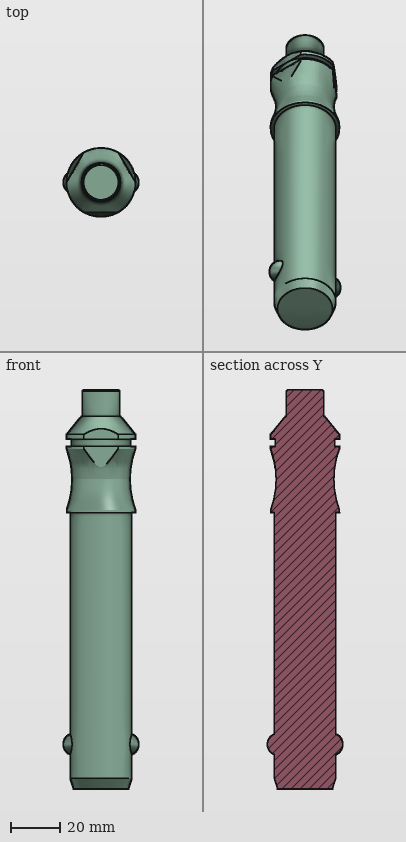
import cadquery as cq

TOTAL_HEIGHT = 162.0

SHANK_DIAMETER = 25.1
SHANK_RADIUS = SHANK_DIAMETER / 2
TIP_RADIUS = 11.2
TIP_HEIGHT = 4.4

BALL_RADIUS = 4.5
BALL_HEIGHT = 18.2
BALL_REACH = 15.4

RIM_DIAMETER = 28.0
RIM_RADIUS = RIM_DIAMETER / 2
HANDLE_BOTTOM = 112.1
LOWER_RIM_HEIGHT = 1.1
WAIST_RADIUS = 11.8
WAIST_HEIGHT = 125.8
GROOVE_RADIUS = 12.2
GROOVE_BOTTOM = 139.0
GROOVE_WIDTH = 2.9
UPPER_RIM_HEIGHT = 1.0
CAP_RIM_HEIGHT = 2.0
CAP_TOP_RADIUS = 8.9
CAP_CONE_TOP = 150.2
CAP_EDGE_BEVEL = 1.0

FLAT_DISTANCE = 12.2
FLAT_COUNT = 3
FIRST_FLAT_ANGLE = -90.0

BUTTON_DIAMETER = 15.4
BUTTON_RADIUS = BUTTON_DIAMETER / 2
BUTTON_BEVEL = 0.6


def waist_arc_radius(height):
    """Radius of the arc that is vertical at the waist and reaches the rim over the given height."""
    depth = RIM_RADIUS - WAIST_RADIUS
    return (height**2 + depth**2) / (2 * depth)


def make_handle():
    arc_bottom = HANDLE_BOTTOM + LOWER_RIM_HEIGHT
    arc_top = GROOVE_BOTTOM - UPPER_RIM_HEIGHT
    groove_top = GROOVE_BOTTOM + GROOVE_WIDTH
    cap_top = CAP_CONE_TOP + CAP_EDGE_BEVEL
    profile = (
        cq.Workplane("XZ")
        .moveTo(0, HANDLE_BOTTOM)
        .lineTo(RIM_RADIUS, HANDLE_BOTTOM)
        .lineTo(RIM_RADIUS, arc_bottom)
        .radiusArc((WAIST_RADIUS, WAIST_HEIGHT), waist_arc_radius(WAIST_HEIGHT - arc_bottom))
        .radiusArc((RIM_RADIUS, arc_top), waist_arc_radius(arc_top - WAIST_HEIGHT))
        .lineTo(RIM_RADIUS, GROOVE_BOTTOM)
        .lineTo(GROOVE_RADIUS, GROOVE_BOTTOM)
        .lineTo(GROOVE_RADIUS, groove_top)
        .lineTo(RIM_RADIUS, groove_top)
        .lineTo(RIM_RADIUS, groove_top + CAP_RIM_HEIGHT)
        .lineTo(CAP_TOP_RADIUS, CAP_CONE_TOP)
        .lineTo(CAP_TOP_RADIUS - CAP_EDGE_BEVEL, cap_top)
        .lineTo(0, cap_top)
        .close()
    )
    handle = profile.revolve(360, (0, 0, 0), (0, 1, 0))
    for index in range(FLAT_COUNT):
        angle = FIRST_FLAT_ANGLE + index * 360 / FLAT_COUNT
        handle = handle.cut(make_flat_cutter(angle))
    return handle


def make_flat_cutter(angle):
    """Block outside one flat, from the grip waist to the top."""
    return (
        cq.Workplane("XY")
        .box(RIM_RADIUS, 2 * RIM_RADIUS, TOTAL_HEIGHT - WAIST_HEIGHT, centered=(False, True, False))
        .translate((FLAT_DISTANCE, 0, WAIST_HEIGHT))
        .rotate((0, 0, 0), (0, 0, 1), angle)
    )


def make_shank():
    tip = (
        cq.Workplane("XY")
        .circle(TIP_RADIUS)
        .workplane(offset=TIP_HEIGHT)
        .circle(SHANK_RADIUS)
        .loft()
    )
    body = (
        cq.Workplane("XY")
        .workplane(offset=TIP_HEIGHT)
        .circle(SHANK_RADIUS)
        .extrude(HANDLE_BOTTOM - TIP_HEIGHT)
    )
    return tip.union(body)


def make_ball(side):
    center_x = side * (BALL_REACH - BALL_RADIUS)
    return cq.Workplane("XY").sphere(BALL_RADIUS).translate((center_x, 0, BALL_HEIGHT))


def make_button():
    return (
        cq.Workplane("XY")
        .workplane(offset=CAP_CONE_TOP)
        .circle(BUTTON_RADIUS)
        .extrude(TOTAL_HEIGHT - CAP_CONE_TOP)
        .faces(">Z")
        .chamfer(BUTTON_BEVEL)
    )


result = make_shank().union(make_handle()).union(make_button())
for ball_side in (-1, 1):
    result = result.union(make_ball(ball_side))